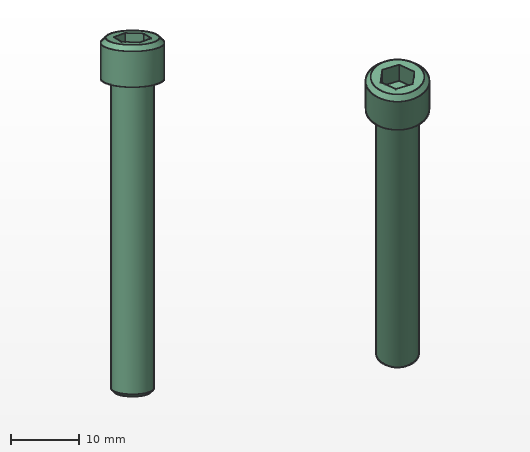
import cadquery as cq
import math

total_length = 54.03
head_diameter = 9.4
head_height = 6.23
head_chamfer = 0.76

shank_diameter = 6.35
shank_length = total_length - head_height
tip_chamfer = 0.53

socket_sides = 6
socket_across_flats = 4.76
socket_depth = head_height / 2


def make_screw_body():
    """Revolve the half outline of head and shank about the Z axis."""
    head_radius = head_diameter / 2
    shank_radius = shank_diameter / 2
    half_outline = (
        cq.Workplane("XZ")
        .moveTo(0, -shank_length)
        .lineTo(shank_radius - tip_chamfer, -shank_length)
        .lineTo(shank_radius, -shank_length + tip_chamfer)
        .lineTo(shank_radius, 0)
        .lineTo(head_radius, 0)
        .lineTo(head_radius, head_height - head_chamfer)
        .lineTo(head_radius - head_chamfer, head_height)
        .lineTo(0, head_height)
        .close()
    )
    return half_outline.revolve(360, (0, 0, 0), (0, 1, 0))


def make_hex_socket():
    """Hexagonal prism sunk from the top of the head, with two corners in the XZ plane."""
    across_corners = socket_across_flats / math.cos(math.pi / socket_sides)
    return (
        cq.Workplane("XY")
        .workplane(offset=head_height - socket_depth)
        .polygon(socket_sides, across_corners)
        .extrude(socket_depth)
    )


result = make_screw_body().cut(make_hex_socket())